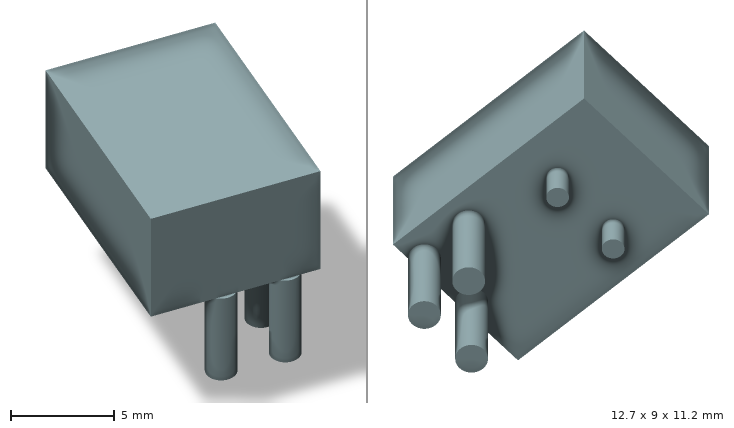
import cadquery as cq

HOUSING_LENGTH = 12.5
HOUSING_WIDTH = 9.0
HOUSING_HEIGHT = 6.1

CONTACT_DIAMETER = 1.59
CONTACT_LENGTH = 5.1
OUTER_CONTACT_X = 5.65
INNER_CONTACT_X = 2.75
SIDE_CONTACT_Y = 2.9
MIDDLE_CONTACT_Y = -0.5
CONTACT_POSITIONS = [
    (OUTER_CONTACT_X, SIDE_CONTACT_Y),
    (OUTER_CONTACT_X, MIDDLE_CONTACT_Y),
    (INNER_CONTACT_X, SIDE_CONTACT_Y),
]

PEG_DIAMETER = 1.1
PEG_LENGTH = 1.8
PEG_X = -2.25
PEG_SPACING = 4.0
PEG_POSITIONS = [(PEG_X, side * PEG_SPACING / 2) for side in (-1, 1)]


def make_housing():
    """Solid block standing on the XY plane."""
    return cq.Workplane("XY").box(
        HOUSING_LENGTH, HOUSING_WIDTH, HOUSING_HEIGHT, centered=(True, True, False)
    )


def make_pin(position, diameter, length):
    """Round pin hanging down from the underside of the housing."""
    return cq.Workplane("XY").center(*position).circle(diameter / 2).extrude(-length)


housing = make_housing()
contacts = [make_pin(position, CONTACT_DIAMETER, CONTACT_LENGTH) for position in CONTACT_POSITIONS]
pegs = [make_pin(position, PEG_DIAMETER, PEG_LENGTH) for position in PEG_POSITIONS]

result = cq.Compound.makeCompound(
    [
        housing.val(),
        *[contact.val() for contact in contacts],
        *[peg.val() for peg in pegs],
    ]
)